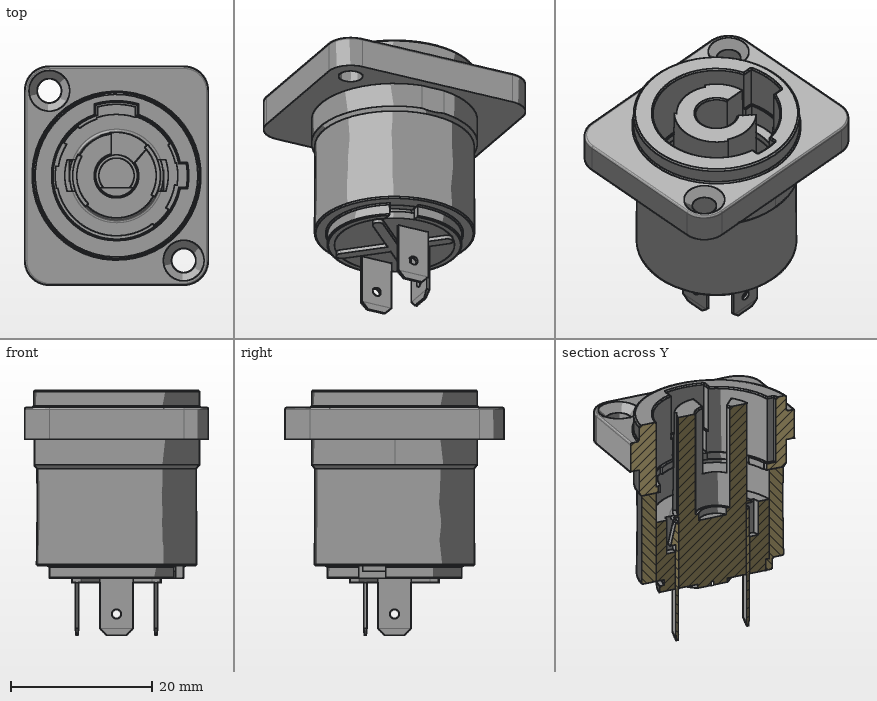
import cadquery as cq
import math

FLANGE_TOP = -2.45
FLANGE_BOTTOM = -6.97
SHELL_BOTTOM = -11.1
BARREL_BOTTOM = -24.85
REAR_FACE = -26.65
CROSS_BOTTOM = -27.25
TAB_TIP = -34.7
INSERT_FLOOR = -15.6
OPENING_FLOOR = -10.4
KEYWAY_STEP = -6.85
KEYWAY_FLOOR = -10.05

FLANGE_X = 26.0
FLANGE_Y = 31.0
FLANGE_CORNER_RADIUS = 3.5
FLANGE_EDGE_FILLET = 0.28
NECK_RADIUS = 23.5 / 2
NECK_CHAMFER_HEIGHT = 0.55
COLLAR_EDGE_CHAMFER = 0.25
COLLAR_FOOT_FILLET = 0.2
NECK_FLAT_WIDTH = 3.47
SCREW_X = 9.5
SCREW_Y = 12.0
SCREW_HOLE_DIAMETER = 3.4
COUNTERSINK_DIAMETER = 5.75
COUNTERSINK_ANGLE = 90

BORE_RADIUS = 9.0
MOUTH_CHAMFER = 0.2
MOUTH_CHAMFER_ANGLE = 45
TOP_KEYWAY_WIDTH = 5.9
TOP_KEYWAY_RADIUS = 10.4
LOWER_KEYWAY_WIDTH = 5.35
LOWER_KEYWAY_RADIUS = 10.1
SIDE_KEYWAY_WIDTH = 3.33
SIDE_KEYWAY_RADIUS = 10.03
LOWER_BORE_RADIUS = 8.8
LEDGES = [
    (8.68, 72, 109),
    (8.5, 109, 128),
    (8.33, 148, 171),
    (8.68, 171, 192),
    (8.5, 192, 307),
    (8.33, 327, 351),
    (8.68, 351, 372),
    (8.5, 372, 391),
]

BARREL_TOP_RADIUS = 22.6 / 2
BARREL_BOTTOM_RADIUS = 22.7 / 2
BARREL_EDGE_CHAMFER = 0.2
RING_RADIUS = 9.55
RING_EDGE_CHAMFER = 0.17
RING_FOOT_FLARE = 0.2
REAR_OPENING_RADIUS = 17.0 / 2
NOTCH_Y_MIN = 1.25
NOTCH_Y_MAX = 5.03
WINDOW_HEIGHT = 0.75
WINDOW_Y_MAX = 4.48
WINDOW_DEPTH = 0.7

PLUG_TOP_RADIUS = 5.97
PLUG_BASE_RADIUS = 6.2
PLUG_FOOT_FILLET = 0.4
PLUG_RECESS_RADIUS = 5.62
PLUG_RECESS_ARCS = [(151, 225), (-29, 45)]
SOCKET_RADIUS = 2.95
SOCKET_MOUTH_CHAMFER = 0.2
SOCKET_STEP_RADIUS = 2.5
SOCKET_STEP_DEPTH = 1.05
SOCKET_FLAT_Y = -1.75
SOCKET_SEGMENT_DEPTH = 3.47
OPENING_ANGLES = (49, 90)
OPENING_MARGIN = 0.73
CONTACT_SLOT_RADIUS = 7.32
CONTACT_SLOT_BOTTOM = -20.82
CROSS_ARM_WIDTH = 1.55
CROSS_ARM_REACH = 8.6

TAB_WIDTH = 4.72
TAB_THICKNESS = 0.5
TAB_TIP_HEIGHT = 0.97
TAB_TIP_THICKNESS = 0.28
TAB_HOLE_DIAMETER = 1.3
TAB_HOLE_Z = -31.68
SIDE_CONTACT_OFFSET = 5.6
EARTH_CONTACT_OFFSET = 4.13
CONTACT_WIDTH = 4.45
SIDE_CONTACT_TOP = -16.3
EARTH_CONTACT_TOP = -21.5
SPRING_REACH = 0.85
SPRING_WIDTH = 2.85
SPRING_CENTRE = 0.62
SPRING_HEIGHT = 3.47

NEAR_FULL = 0.99
CLEAR = 1.75


def cylinder(radius, z_low, z_high):
    return cq.Workplane("XY").workplane(offset=z_low).circle(radius).extrude(z_high - z_low)


def box(x_range, y_range, z_range):
    size = [high - low for low, high in (x_range, y_range, z_range)]
    return cq.Workplane("XY").box(*size, centered=False).translate((x_range[0], y_range[0], z_range[0]))


def half_turn(shape):
    return shape.rotate((0, 0, 0), (0, 0, 1), 180)


def ring_sector(inner_radius, outer_radius, z_low, z_high, arc):
    """Part of a ring between two angles in degrees, counted from +X toward +Y."""
    start, end = arc
    return (
        cq.Workplane("XZ")
        .moveTo(inner_radius, z_low)
        .lineTo(outer_radius, z_low)
        .lineTo(outer_radius, z_high)
        .lineTo(inner_radius, z_high)
        .close()
        .revolve(end - start, (0, 0, 0), (0, 1, 0))
        .rotate((0, 0, 0), (0, 0, 1), start)
    )


def keyway(radius, width, z_low, z_high):
    """Key passage along +X that ends on an arc around the main axis."""
    block = box((0, radius + CLEAR), (-width / 2, width / 2), (z_low, z_high))
    return block.intersect(cylinder(radius, z_low, z_high))


def mating_bore():
    """Everything removed from the shell by the keyed bore, with its chamfered mouth."""
    bore = cylinder(BORE_RADIUS, KEYWAY_FLOOR, 0)
    top_keyway = keyway(TOP_KEYWAY_RADIUS, TOP_KEYWAY_WIDTH, KEYWAY_STEP, 0)
    lower_keyway = keyway(LOWER_KEYWAY_RADIUS, LOWER_KEYWAY_WIDTH, KEYWAY_FLOOR, KEYWAY_STEP)
    top_keyway = top_keyway.union(lower_keyway).rotate((0, 0, 0), (0, 0, 1), 90)
    side_keyway = keyway(SIDE_KEYWAY_RADIUS, SIDE_KEYWAY_WIDTH, KEYWAY_FLOOR, 0)
    bore = bore.union(top_keyway).union(side_keyway)
    mouth = bore.faces(">Z").wires().toPending().extrude(-MOUTH_CHAMFER, combine=False)
    flare = (
        cq.Workplane("XY")
        .workplane(offset=-MOUTH_CHAMFER)
        .add(mouth.faces("<Z").wires().vals())
        .toPending()
        .extrude(MOUTH_CHAMFER, taper=-MOUTH_CHAMFER_ANGLE, combine=False)
    )
    bore = bore.union(flare)
    lower_bore = cylinder(LOWER_BORE_RADIUS, SHELL_BOTTOM, KEYWAY_FLOOR)
    for ledge_radius, start, end in LEDGES:
        ledge = ring_sector(ledge_radius, BORE_RADIUS, SHELL_BOTTOM, KEYWAY_FLOOR, (start, end))
        lower_bore = lower_bore.cut(ledge)
    return bore.union(lower_bore)


def make_shell():
    flange = (
        cq.Workplane("XY")
        .workplane(offset=FLANGE_BOTTOM)
        .rect(FLANGE_X, FLANGE_Y)
        .extrude(FLANGE_TOP - FLANGE_BOTTOM)
        .edges("|Z")
        .fillet(FLANGE_CORNER_RADIUS)
        .faces(">Z")
        .edges()
        .fillet(FLANGE_EDGE_FILLET)
    )
    flange = (
        flange.faces(">Z")
        .workplane(origin=(0, 0, FLANGE_TOP))
        .pushPoints([(-SCREW_X, SCREW_Y), (SCREW_X, -SCREW_Y)])
        .cskHole(SCREW_HOLE_DIAMETER, COUNTERSINK_DIAMETER, COUNTERSINK_ANGLE)
    )
    collar = cylinder(NECK_RADIUS, FLANGE_BOTTOM, 0).faces(">Z").chamfer(COLLAR_EDGE_CHAMFER)
    collar_foot = cylinder(NECK_RADIUS + COLLAR_FOOT_FILLET, FLANGE_TOP, FLANGE_TOP + COLLAR_FOOT_FILLET)
    collar_foot = collar_foot.faces(">Z").chamfer(COLLAR_FOOT_FILLET * NEAR_FULL)
    neck = cylinder(NECK_RADIUS, SHELL_BOTTOM, FLANGE_BOTTOM)
    neck = neck.faces("<Z").chamfer(NECK_CHAMFER_HEIGHT, NECK_RADIUS - BARREL_TOP_RADIUS)
    flat_distance = math.sqrt(NECK_RADIUS**2 - (NECK_FLAT_WIDTH / 2) ** 2)
    flat = box(
        (-flat_distance - CLEAR, -flat_distance),
        (-NECK_FLAT_WIDTH, NECK_FLAT_WIDTH),
        (SHELL_BOTTOM, FLANGE_BOTTOM),
    )
    neck = neck.cut(flat)
    return flange.union(collar).union(collar_foot).union(neck).cut(mating_bore())


def make_barrel():
    """Slightly conical barrel with a notched ring around its rear opening."""
    barrel = (
        cq.Workplane("XZ")
        .moveTo(0, SHELL_BOTTOM)
        .lineTo(BARREL_TOP_RADIUS, SHELL_BOTTOM)
        .lineTo(BARREL_BOTTOM_RADIUS, BARREL_BOTTOM + BARREL_EDGE_CHAMFER)
        .lineTo(BARREL_BOTTOM_RADIUS - BARREL_EDGE_CHAMFER, BARREL_BOTTOM)
        .lineTo(0, BARREL_BOTTOM)
        .close()
        .revolve(360, (0, 0, 0), (0, 1, 0))
    )
    ring = cylinder(RING_RADIUS, REAR_FACE, BARREL_BOTTOM).faces("<Z").chamfer(RING_EDGE_CHAMFER)
    ring_foot = cylinder(RING_RADIUS + RING_FOOT_FLARE, BARREL_BOTTOM - RING_FOOT_FLARE, BARREL_BOTTOM)
    ring_foot = ring_foot.faces("<Z").chamfer(RING_FOOT_FLARE * NEAR_FULL)
    barrel = barrel.union(ring).union(ring_foot)
    barrel = barrel.cut(cylinder(BORE_RADIUS, BARREL_BOTTOM, SHELL_BOTTOM))
    barrel = barrel.cut(cylinder(REAR_OPENING_RADIUS, REAR_FACE, BARREL_BOTTOM))
    notch = box((-RING_RADIUS - RING_FOOT_FLARE, 0), (NOTCH_Y_MIN, NOTCH_Y_MAX), (REAR_FACE, BARREL_BOTTOM))
    return barrel.cut(notch).cut(half_turn(notch))


def make_contact(offset, contact_top, has_spring):
    """Flat tab at X = -offset with a bevelled tip; the part inside the insert is narrower."""
    half_tab = TAB_WIDTH / 2
    half_contact = CONTACT_WIDTH / 2
    half_tip = half_tab - TAB_TIP_HEIGHT
    shoulder = TAB_TIP + TAB_TIP_HEIGHT
    half_outline = [
        (half_tip, TAB_TIP),
        (half_tab, shoulder),
        (half_tab, BARREL_BOTTOM),
        (half_contact, BARREL_BOTTOM),
        (half_contact, contact_top),
    ]
    outline = half_outline + [(-y, z) for y, z in reversed(half_outline)]
    contact = cq.Workplane("YZ").polyline(outline).close().extrude(TAB_THICKNESS / 2, both=True)
    half_profile = [
        (TAB_TIP_THICKNESS / 2, TAB_TIP),
        (TAB_THICKNESS / 2, shoulder),
        (TAB_THICKNESS / 2, contact_top),
    ]
    profile = half_profile + [(-x, z) for x, z in reversed(half_profile)]
    contact = contact.intersect(cq.Workplane("XZ").polyline(profile).close().extrude(TAB_WIDTH, both=True))
    hole = (
        cq.Workplane("YZ")
        .center(0, TAB_HOLE_Z)
        .circle(TAB_HOLE_DIAMETER / 2)
        .extrude(TAB_THICKNESS, both=True)
    )
    contact = contact.cut(hole)
    if has_spring:
        outer_face = -TAB_THICKNESS / 2
        spring = (
            cq.Workplane("XZ")
            .moveTo(outer_face, contact_top)
            .lineTo(outer_face - SPRING_REACH, contact_top - SPRING_HEIGHT)
            .lineTo(outer_face, contact_top - SPRING_HEIGHT)
            .close()
            .extrude(SPRING_WIDTH / 2, both=True)
            .translate((0, SPRING_CENTRE, 0))
        )
        contact = contact.union(spring)
    return contact.translate((-offset, 0, 0))


def plug_body():
    """Turned plug with slight draft and a filleted foot on the insert floor."""
    foot_top = INSERT_FLOOR + PLUG_FOOT_FILLET
    foot_radius = PLUG_BASE_RADIUS + PLUG_FOOT_FILLET
    bend = PLUG_FOOT_FILLET * (1 - math.sqrt(0.5))
    plug = (
        cq.Workplane("XZ")
        .moveTo(0, INSERT_FLOOR)
        .lineTo(foot_radius, INSERT_FLOOR)
        .threePointArc((PLUG_BASE_RADIUS + bend, INSERT_FLOOR + bend), (PLUG_BASE_RADIUS, foot_top))
        .lineTo(PLUG_TOP_RADIUS, 0)
        .lineTo(0, 0)
        .close()
        .revolve(360, (0, 0, 0), (0, 1, 0))
    )
    for arc in PLUG_RECESS_ARCS:
        plug = plug.cut(ring_sector(PLUG_RECESS_RADIUS, foot_radius, foot_top, 0, arc))
    return plug


def plug_opening():
    """Wedge opening of the plug wall; its sides run parallel to two radii, set back by a margin."""
    first, last = (math.radians(angle) for angle in OPENING_ANGLES)
    half_span = (last - first) / 2
    middle = (first + last) / 2
    apex_distance = OPENING_MARGIN / math.sin(half_span)
    apex = (-apex_distance * math.cos(middle), -apex_distance * math.sin(middle))
    side_length = 2 * PLUG_BASE_RADIUS
    corners = [
        (apex[0] + side_length * math.cos(angle), apex[1] + side_length * math.sin(angle))
        for angle in (first, last)
    ]
    wedge = cq.Workplane("XY").workplane(offset=OPENING_FLOOR).polyline([apex, *corners]).close()
    wedge = wedge.extrude(-OPENING_FLOOR)
    ahead = box((0, 2 * side_length), (-side_length, side_length), (OPENING_FLOOR, 0))
    ahead = ahead.rotate((0, 0, 0), (0, 0, 1), math.degrees(middle))
    return wedge.intersect(ahead)


def plug_socket():
    """Central socket: round bore, a shallow step and a deeper segment on the -Y side."""
    socket = (
        cq.Workplane("XZ")
        .moveTo(0, INSERT_FLOOR)
        .lineTo(SOCKET_RADIUS, INSERT_FLOOR)
        .lineTo(SOCKET_RADIUS, -SOCKET_MOUTH_CHAMFER)
        .lineTo(SOCKET_RADIUS + SOCKET_MOUTH_CHAMFER, 0)
        .lineTo(0, 0)
        .close()
        .revolve(360, (0, 0, 0), (0, 1, 0))
    )
    step_bottom = INSERT_FLOOR - SOCKET_STEP_DEPTH
    segment_bottom = INSERT_FLOOR - SOCKET_SEGMENT_DEPTH
    across = (-SOCKET_RADIUS, SOCKET_RADIUS)
    step = cylinder(SOCKET_STEP_RADIUS, step_bottom, INSERT_FLOOR)
    step = step.intersect(box(across, (SOCKET_FLAT_Y, SOCKET_RADIUS), (step_bottom, INSERT_FLOOR)))
    segment = cylinder(SOCKET_RADIUS, segment_bottom, INSERT_FLOOR)
    segment = segment.intersect(box(across, (-SOCKET_RADIUS, SOCKET_FLAT_Y), (segment_bottom, INSERT_FLOOR)))
    return socket.union(step).union(segment)


def contact_slot():
    """Slot in the insert floor around the -X contact."""
    inner_x = -SIDE_CONTACT_OFFSET + TAB_THICKNESS / 2
    slot = box(
        (-CONTACT_SLOT_RADIUS, inner_x),
        (-CONTACT_WIDTH / 2, CONTACT_WIDTH / 2),
        (CONTACT_SLOT_BOTTOM, INSERT_FLOOR),
    )
    return slot.intersect(cylinder(CONTACT_SLOT_RADIUS, CONTACT_SLOT_BOTTOM, INSERT_FLOOR))


def rear_cross():
    arms = cq.Workplane("XY").workplane(offset=CROSS_BOTTOM)
    height = REAR_FACE - CROSS_BOTTOM
    arm = arms.slot2D(2 * CROSS_ARM_REACH, CROSS_ARM_WIDTH, 45).extrude(height)
    return arm.union(arms.slot2D(2 * CROSS_ARM_REACH, CROSS_ARM_WIDTH, 135).extrude(height))


def make_insert(contacts):
    hub = cylinder(BORE_RADIUS, BARREL_BOTTOM, INSERT_FLOOR)
    hub = hub.union(cylinder(REAR_OPENING_RADIUS, REAR_FACE, BARREL_BOTTOM))
    window = ring_sector(
        REAR_OPENING_RADIUS - WINDOW_DEPTH,
        REAR_OPENING_RADIUS,
        BARREL_BOTTOM - WINDOW_HEIGHT,
        BARREL_BOTTOM,
        (90, 270),
    )
    window = window.intersect(
        box((-RING_RADIUS, 0), (NOTCH_Y_MIN, WINDOW_Y_MAX), (REAR_FACE, BARREL_BOTTOM))
    )
    hub = hub.cut(window).cut(half_turn(window))
    insert = hub.union(plug_body()).union(rear_cross())
    insert = insert.cut(plug_socket()).cut(plug_opening())
    slot = contact_slot()
    insert = insert.cut(slot).cut(half_turn(slot))
    for contact in contacts:
        insert = insert.cut(contact)
    return insert


side_contact = make_contact(SIDE_CONTACT_OFFSET, SIDE_CONTACT_TOP, True)
earth_contact = make_contact(EARTH_CONTACT_OFFSET, EARTH_CONTACT_TOP, False)
earth_contact = earth_contact.rotate((0, 0, 0), (0, 0, 1), 90)
contacts = [side_contact, half_turn(side_contact), earth_contact]

shell = make_shell()
barrel = make_barrel()
insert = make_insert(contacts)

result = cq.Compound.makeCompound(
    [shell.val(), barrel.val(), insert.val(), *[contact.val() for contact in contacts]]
)